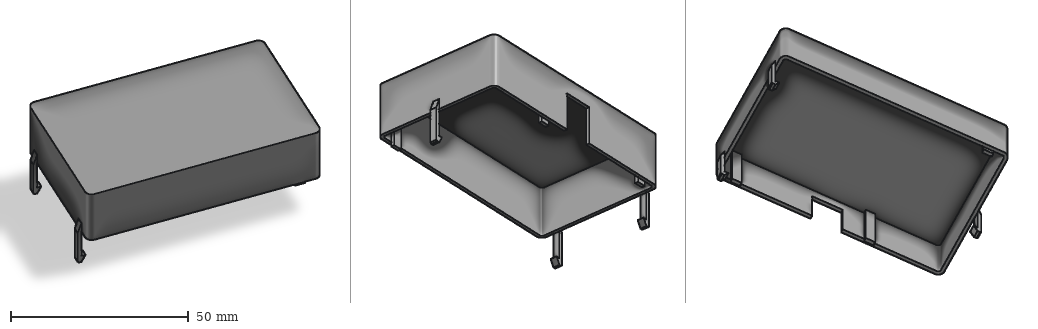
import cadquery as cq

overall_length = 73.9
overall_height = 28.1
case_width = 43.2
case_height = 17.0
corner_radius = 2.0
wall = 1.1

clip_thickness = 1.2
clip_width = 2.2
clip_spacing = 32.0
clip_ramp_height = 3.3
hook_ledge_drop = 8.9
hook_reach = 1.25
tip_bevel = 0.4

foot_inset = wall
foot_thickness = 1.1
foot_width = 3.0
foot_drop = 1.5
left_foot_centers_y = (-29.55, 12.4)
right_foot_center_y = 29.55

opening_width = 9.6
opening_height = 12.0
opening_center_y = -0.6

case_length = overall_length - 2 * clip_thickness
clip_drop = overall_height - case_height


def make_case():
    """Hollow rounded box, open at the bottom, with its rim at Z = 0."""
    outer = cq.Workplane("XY").rect(case_width, case_length).extrude(case_height)
    return outer.edges("|Z").fillet(corner_radius).faces("<Z").shell(-wall)


def make_opening():
    """Cutter that passes through the -X wall only, from the rim upward."""
    cutter = cq.Workplane("XY").box(2 * wall, opening_width, opening_height, centered=(True, True, False))
    return cutter.translate((-case_width / 2, opening_center_y, 0))


def make_foot(side, center_y):
    """Rib on the inner face of a side wall, reaching from the lid to below the rim."""
    foot_height = foot_drop + case_height - wall
    foot = cq.Workplane("XY").box(foot_thickness, foot_width, foot_height, centered=(True, True, False))
    center_x = case_width / 2 - foot_inset - foot_thickness / 2
    return foot.translate((side * center_x, center_y, -foot_drop))


def make_clip(center_x):
    """Clip on the -Y end wall: ramped top, straight leg and inward hook."""
    inner_y = -case_length / 2
    outer_y = inner_y - clip_thickness
    root_y = inner_y + wall / 2
    profile = [
        (root_y, clip_ramp_height),
        (inner_y, clip_ramp_height),
        (outer_y, 0),
        (outer_y, tip_bevel - clip_drop),
        (outer_y + tip_bevel, -clip_drop),
        (inner_y, -clip_drop),
        (inner_y + hook_reach, -hook_ledge_drop),
        (inner_y, -hook_ledge_drop),
        (inner_y, 0),
        (root_y, 0),
    ]
    clip = cq.Workplane("YZ").polyline(profile).close().extrude(clip_width / 2, both=True)
    return clip.translate((center_x, 0, 0))


result = make_case().cut(make_opening())

for center_y in left_foot_centers_y:
    result = result.union(make_foot(-1, center_y))
result = result.union(make_foot(1, right_foot_center_y))

for side in (-1, 1):
    result = result.union(make_clip(side * clip_spacing / 2))
result = result.union(make_clip(0).rotate((0, 0, 0), (0, 0, 1), 180))